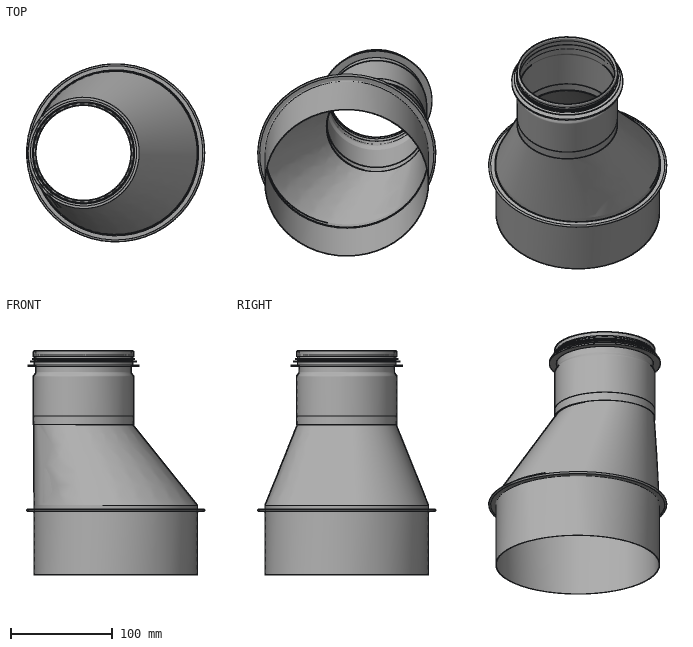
import cadquery as cq
import math


sheet = 0.5
total_height = 220.5

match_tolerance = 1e-3

base_radius = 161.3 / 2
base_bore_radius = base_radius - sheet
hem_outer_radius = 175.3 / 2
hem_mouth_radius = 163.3 / 2
hem_thickness = 2.2
hem_round = hem_thickness / 2
hem_top_z = 64.7
hem_bottom_z = hem_top_z - hem_thickness
root_fillet = 1.0

lip_radius = 171.3 / 2
lip_bottom_z = hem_bottom_z + sheet
lip_top_z = hem_top_z - sheet
cone_bottom_z = 68.5
cone_top_z = 147.5
collar_top_z = 156.5
collar_radius = 98.05 / 2
collar_bore_radius = collar_radius - sheet
spigot_axis_x = collar_radius - base_radius

spigot_radius = 99.05 / 2
spigot_bore_radius = spigot_radius - sheet
spigot_seat_gap = 0.3
spigot_bottom_z = cone_top_z + spigot_seat_gap
groove_radius = 94.25 / 2
groove_bore_radius = groove_radius - sheet
shoulder_bottom_z = 195.5
shoulder_top_z = 199.0
shoulder_angle = math.atan2(spigot_radius - groove_radius, shoulder_top_z - shoulder_bottom_z)
shoulder_inner_drop = sheet * math.tan(shoulder_angle / 2)
shoulder_outer_bend = 2.0
shoulder_inner_bend = 1.2
rim_round = (spigot_radius - groove_bore_radius) / 2
rim_round_z = total_height - rim_round
rim_middle_radius = spigot_radius - rim_round
curl_end_z = 214.6

seal_radius = 97.05 / 2
seal_relief_radius = 95.45 / 2
seal_grip_bottom_z = 211.0
seal_top_z = 216.3
stop_fin_thickness = 1.5
stop_fin_bottom_z = 205.1
seal_fins = [
    (109.45 / 2, stop_fin_bottom_z, stop_fin_thickness),
    (104.45 / 2, 209.6, 0.8),
    (100.45 / 2, 211.9, 0.8),
]


def revolve(profile, axis_x=0.0):
    """Turn an XZ half-profile (X is the radius) about Z, then move it to its axis."""
    return profile.close().revolve(360, (0, 0, 0), (0, 1, 0)).translate((axis_x, 0, 0))


def tube(outer_radius, inner_radius, bottom_z, top_z, axis_x=0.0):
    ring = cq.Workplane("XY").workplane(offset=bottom_z).circle(outer_radius).circle(inner_radius)
    return ring.extrude(top_z - bottom_z).translate((axis_x, 0, 0))


def oblique_frustum(bottom_radius, top_radius):
    return (
        cq.Workplane("XY")
        .workplane(offset=cone_bottom_z)
        .circle(bottom_radius)
        .workplane(offset=cone_top_z - cone_bottom_z)
        .center(spigot_axis_x, 0)
        .circle(top_radius)
        .loft(ruled=True)
    )


def round_circle(body, edge_radius, edge_z, fillet_radius):
    """Fillet the one circular edge of the given radius and height."""

    def is_wanted(edge):
        radius_error = abs(edge.radius() - edge_radius)
        height_error = abs(edge.Center().z - edge_z)
        return max(radius_error, height_error) < match_tolerance

    return body.edges("%CIRCLE").filter(is_wanted).fillet(fillet_radius)


def make_base():
    """Collar whose top edge is hemmed outward and back over the lip of the cone."""
    fillet_middle = root_fillet * (1 - math.sqrt(0.5))
    profile = (
        cq.Workplane("XZ")
        .moveTo(base_bore_radius, 0)
        .lineTo(base_radius, 0)
        .lineTo(base_radius, hem_bottom_z - root_fillet)
        .threePointArc(
            (base_radius + fillet_middle, hem_bottom_z - fillet_middle),
            (base_radius + root_fillet, hem_bottom_z),
        )
        .lineTo(hem_outer_radius - hem_round, hem_bottom_z)
        .threePointArc(
            (hem_outer_radius, hem_bottom_z + hem_round),
            (hem_outer_radius - hem_round, hem_top_z),
        )
        .lineTo(hem_mouth_radius, hem_top_z)
        .lineTo(hem_mouth_radius, lip_top_z)
        .lineTo(lip_radius, lip_top_z)
        .lineTo(lip_radius, lip_bottom_z)
        .lineTo(base_bore_radius, lip_bottom_z)
    )
    return revolve(profile)


def make_cone():
    """Sheet cone with a lip held in the base hem and a collar that fits inside the spigot."""
    lip = tube(lip_radius, base_bore_radius, lip_bottom_z, lip_top_z)
    foot = tube(base_radius, base_bore_radius, lip_bottom_z, cone_bottom_z)
    shell = oblique_frustum(base_radius, collar_radius).cut(
        oblique_frustum(base_bore_radius, collar_bore_radius)
    )
    collar = tube(collar_radius, collar_bore_radius, cone_top_z, collar_top_z, spigot_axis_x)
    return lip.union(foot).union(shell).union(collar)


def make_spigot():
    """Sheet tube necked down to a seal groove, with its rim curled outward and down."""
    profile = (
        cq.Workplane("XZ")
        .moveTo(spigot_bore_radius, spigot_bottom_z)
        .lineTo(spigot_radius, spigot_bottom_z)
        .lineTo(spigot_radius, shoulder_bottom_z)
        .lineTo(groove_radius, shoulder_top_z)
        .lineTo(groove_radius, rim_round_z)
        .threePointArc((rim_middle_radius, total_height - sheet), (spigot_bore_radius, rim_round_z))
        .lineTo(spigot_bore_radius, curl_end_z)
        .lineTo(spigot_radius, curl_end_z)
        .lineTo(spigot_radius, rim_round_z)
        .threePointArc((rim_middle_radius, total_height), (groove_bore_radius, rim_round_z))
        .lineTo(groove_bore_radius, shoulder_top_z - shoulder_inner_drop)
        .lineTo(spigot_bore_radius, shoulder_bottom_z - shoulder_inner_drop)
    )
    spigot = revolve(profile, spigot_axis_x)

    bends = [
        (spigot_radius, shoulder_bottom_z, shoulder_outer_bend),
        (spigot_bore_radius, shoulder_bottom_z - shoulder_inner_drop, shoulder_outer_bend - sheet),
        (groove_radius, shoulder_top_z, shoulder_inner_bend),
        (groove_bore_radius, shoulder_top_z - shoulder_inner_drop, shoulder_inner_bend + sheet),
    ]
    for edge_radius, edge_z, bend_radius in bends:
        spigot = round_circle(spigot, edge_radius, edge_z, bend_radius)
    return spigot


def make_seal():
    """Rubber sleeve gripping the groove inside the rim curl, with a relieved skirt and three fins."""
    grip = tube(seal_radius, groove_radius, seal_grip_bottom_z, seal_top_z, spigot_axis_x)
    skirt = tube(seal_radius, seal_relief_radius, stop_fin_bottom_z, seal_grip_bottom_z, spigot_axis_x)
    seal = grip.union(skirt)
    for radius, bottom_z, thickness in seal_fins:
        fin = tube(radius, seal_relief_radius, bottom_z, bottom_z + thickness, spigot_axis_x)
        seal = seal.union(fin)
    return seal


base = make_base()
cone = make_cone()
spigot = make_spigot()
seal = make_seal()

bodies = [base, cone, spigot, seal]
result = cq.Compound.makeCompound([body.solids().val() for body in bodies])